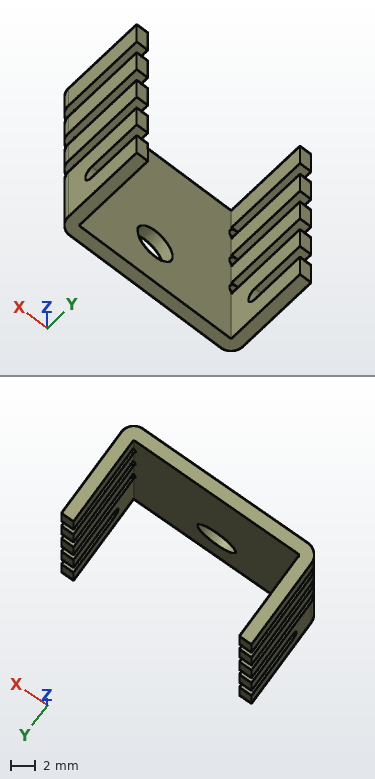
import cadquery as cq

width = 19.05
depth = 9.65
height = 19.05

sheet = 1.22
inner_bend_radius = 0.05
outer_bend_radius = sheet + inner_bend_radius

slot_count = 4
slot_width = 1.58
slot_pitch = 4.1
slot_end_depth = 1.4
short_slot_end = 3.35

hole_diameter = 3.81
hole_height = 5.73


def folded_channel():
    """U-shaped channel: base plate on the -Y side, side walls running toward +Y."""
    outer = (
        cq.Workplane("XY")
        .rect(width, depth)
        .extrude(height)
        .edges("|Z and <Y")
        .fillet(outer_bend_radius)
    )
    inner = (
        cq.Workplane("XY")
        .center(0, sheet)
        .rect(width - 2 * sheet, depth)
        .extrude(height)
        .edges("|Z and <Y")
        .fillet(inner_bend_radius)
    )
    return outer.cut(inner)


def slot_height(index):
    """Height of a slot centre, counted from the bottom; the row is centred on the part."""
    return height / 2 + (index - (slot_count - 1) / 2) * slot_pitch


def bend_notch(index):
    """Pair of round-ended slots, one per side, cut through the bends along Y."""
    length = 2 * slot_end_depth
    return (
        cq.Workplane("XZ")
        .pushPoints([(side * width / 2, slot_height(index)) for side in (-1, 1)])
        .slot2D(length, slot_width)
        .extrude(depth, both=True)
    )


def finger_gap(index):
    """Straight-sided gap across both walls along X, from the end of the bend to the tips."""
    gap_length = depth - outer_bend_radius
    return (
        cq.Workplane("YZ")
        .center(depth / 2 - gap_length / 2, slot_height(index))
        .rect(gap_length, slot_width)
        .extrude(width, both=True)
    )


def short_slot():
    """Round-ended slot open at the wall tips, cut across both walls along X."""
    length = 2 * (depth - short_slot_end)
    return (
        cq.Workplane("YZ")
        .center(depth / 2, slot_height(0))
        .slot2D(length, slot_width)
        .extrude(width, both=True)
    )


def mounting_hole():
    """Round hole through the base plate along Y."""
    return (
        cq.Workplane("XZ")
        .center(0, hole_height)
        .circle(hole_diameter / 2)
        .extrude(depth, both=True)
    )


result = folded_channel()
for slot_index in range(1, slot_count):
    result = result.cut(bend_notch(slot_index)).cut(finger_gap(slot_index))
result = result.cut(short_slot()).cut(mounting_hole())